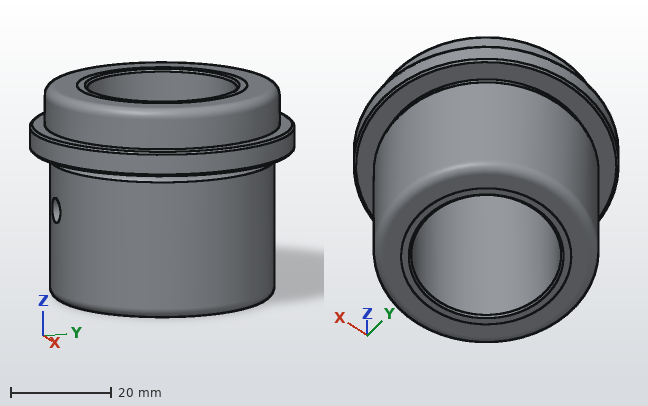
import cadquery as cq
import math

height = 43.0
flange_diameter = 53.0

head_diameter = 47.0
barrel_diameter = 45.0
flange_bottom = 30.0
flange_thickness = 5.0
flange_chamfer = 0.5
head_fillet = 2.0
barrel_fillet = 2.0

relief_width = 2.0
relief_radius = 3.0
relief_depth = relief_radius - math.sqrt(relief_radius**2 - relief_width**2)

hole_diameter = 5.0
hole_height = 18.95

liner_outer_diameter = 34.0
bore_diameter = 30.0
bore_chamfer = 0.5


def cylinder(diameter, length, bottom=0.0):
    """Solid cylinder on the Z axis, standing on the given height."""
    return cq.Workplane("XY").workplane(offset=bottom).circle(diameter / 2).extrude(length)


def make_barrel():
    """Lower cylinder with a rounded bottom rim and a curved relief at its top."""
    radius = barrel_diameter / 2
    neck_radius = radius - relief_depth
    return (
        cq.Workplane("XZ")
        .lineTo(radius - barrel_fillet, 0)
        .radiusArc((radius, barrel_fillet), -barrel_fillet)
        .lineTo(radius, flange_bottom - relief_width)
        .radiusArc((neck_radius, flange_bottom), relief_radius)
        .lineTo(0, flange_bottom)
        .close()
        .revolve(360, (0, 0, 0), (0, 1, 0))
    )


def make_housing():
    """Barrel, flange and head, bored for the liner and drilled from -Y."""
    flange = cylinder(flange_diameter, flange_thickness, flange_bottom).edges().chamfer(flange_chamfer)
    head = cylinder(head_diameter, height - flange_bottom, flange_bottom).edges(">Z").fillet(head_fillet)
    radial_hole = (
        cq.Workplane("XZ")
        .center(0, hole_height)
        .circle(hole_diameter / 2)
        .extrude(barrel_diameter / 2)
    )
    liner_seat = cylinder(liner_outer_diameter, height)
    return make_barrel().union(flange).union(head).cut(radial_hole).cut(liner_seat)


def make_liner():
    """Sleeve as long as the housing, with both ends of the bore chamfered."""
    bore = cylinder(bore_diameter, height)
    sleeve = cylinder(liner_outer_diameter, height).cut(bore)
    bore_rims = sleeve.edges(cq.selectors.RadiusNthSelector(0))
    return bore_rims.chamfer(bore_chamfer)


housing = make_housing()
liner = make_liner()

result = cq.Compound.makeCompound([housing.val(), liner.val()])